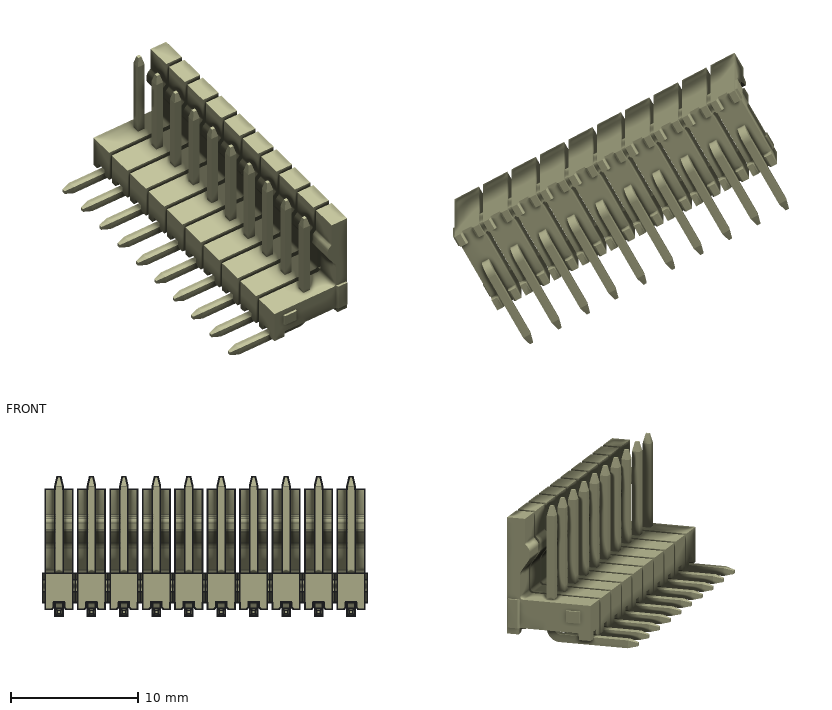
import cadquery as cq
import math


PIN_COUNT = 10
PITCH = 2.55
BODY_WIDTH = 2.15

BASE_FRONT = -6.9
BASE_BOTTOM = 1.07
BASE_TOP = 3.38
FOOT_BOTTOM = 0.53

FOOT_TOP_DEPTH = 1.02
FOOT_BOTTOM_DEPTH = 0.95

SLOT_WIDTH = 0.85
SLOT_TOP = 1.15
SLOT_FLARE = 0.15

WALL_TOP = 9.95
WALL_HEAD_DEPTH = 1.47
WALL_STEM_DEPTH = 1.07
BULGE_DEPTH = 1.85
BULGE_TOP = 7.52
BULGE_BOTTOM = 6.7
STEM_TOP = 5.55
UPPER_RAMP_ANGLE = 45.0
HEAD_CORNER_RADIUS = 0.2
BULGE_TOP_RADIUS = 0.53
BULGE_BOTTOM_RADIUS = 0.35
STEM_TOP_RADIUS = 0.69
STEM_FOOT_RADIUS = 0.25

REAR_LINK_BACK = -0.1
REAR_LINK_NOTCH = 0.14
FRONT_LINK_BACK = -4.88
FRONT_LINK_FRONT = -6.07
FRONT_LINK_BOTTOM = 1.9
FRONT_LINK_TOP = 2.85
FRONT_LINK_NOTCH = 0.048

PIN_SIZE = 0.64
PIN_TOP = 10.92
PIN_FRONT = -10.5
PIN_Y = -3.33
TIP_LENGTH = 0.75
TIP_SIZE = 0.28
BEND_OUTER_RADIUS = 1.07

PIN_CENTRE_Z = PIN_SIZE / 2
BEND_RADIUS = BEND_OUTER_RADIUS - PIN_SIZE / 2


def make_housing():
    """L-shaped housing of one module, with a rear foot and a front foot."""
    ramp_height = (BULGE_DEPTH - WALL_HEAD_DEPTH) / math.tan(math.radians(UPPER_RAMP_ANGLE))
    head_bottom = BULGE_TOP + ramp_height
    outline = [
        (0, FOOT_BOTTOM),
        (0, WALL_TOP),
        (-WALL_HEAD_DEPTH, WALL_TOP),
        (-WALL_HEAD_DEPTH, head_bottom),
        (-BULGE_DEPTH, BULGE_TOP),
        (-BULGE_DEPTH, BULGE_BOTTOM),
        (-WALL_STEM_DEPTH, STEM_TOP),
        (-WALL_STEM_DEPTH, BASE_TOP),
        (BASE_FRONT, BASE_TOP),
        (BASE_FRONT, FOOT_BOTTOM),
        (BASE_FRONT + FOOT_BOTTOM_DEPTH, FOOT_BOTTOM),
        (BASE_FRONT + FOOT_TOP_DEPTH, BASE_BOTTOM),
        (-FOOT_TOP_DEPTH, BASE_BOTTOM),
        (-FOOT_BOTTOM_DEPTH, FOOT_BOTTOM),
    ]
    housing = cq.Workplane("YZ").polyline(outline).close().extrude(BODY_WIDTH / 2, both=True)
    rounded_corners = [
        (-WALL_HEAD_DEPTH, head_bottom, HEAD_CORNER_RADIUS),
        (-BULGE_DEPTH, BULGE_TOP, BULGE_TOP_RADIUS),
        (-BULGE_DEPTH, BULGE_BOTTOM, BULGE_BOTTOM_RADIUS),
        (-WALL_STEM_DEPTH, STEM_TOP, STEM_TOP_RADIUS),
        (-WALL_STEM_DEPTH, BASE_TOP, STEM_FOOT_RADIUS),
    ]
    for y, z, radius in rounded_corners:
        corner_edge = cq.selectors.NearestToPointSelector((0, y, z))
        housing = housing.edges("|X").edges(corner_edge).fillet(radius)
    return housing


def make_slot(y_back, y_front, z_top):
    """Cutter for a slot through a foot, flared at the bottom."""
    half_slot = SLOT_WIDTH / 2
    half_mouth = half_slot + SLOT_FLARE
    outline = [
        (-half_mouth, FOOT_BOTTOM),
        (-half_slot, FOOT_BOTTOM + SLOT_FLARE),
        (-half_slot, z_top),
        (half_slot, z_top),
        (half_slot, FOOT_BOTTOM + SLOT_FLARE),
        (half_mouth, FOOT_BOTTOM),
    ]
    slot_plane = cq.Workplane("XZ", origin=(0, y_back, 0))
    return slot_plane.polyline(outline).close().extrude(y_back - y_front)


def make_link(y_back, y_front, back_notch, front_notch, z_bottom, z_top):
    """Bar across one module that narrows along Y by the notches where it meets its neighbours."""
    half_pitch = PITCH / 2
    half_body = BODY_WIDTH / 2
    outline = [
        (-half_pitch, y_back - back_notch),
        (-half_body, y_back),
        (half_body, y_back),
        (half_pitch, y_back - back_notch),
        (half_pitch, y_front + front_notch),
        (half_body, y_front),
        (-half_body, y_front),
        (-half_pitch, y_front + front_notch),
    ]
    link_plane = cq.Workplane("XY", origin=(0, 0, z_bottom))
    return link_plane.polyline(outline).close().extrude(z_top - z_bottom)


def make_links():
    """Rear and front links of one module, reaching half way to its neighbours."""
    rear_link = make_link(
        REAR_LINK_BACK, -WALL_STEM_DEPTH, 0, REAR_LINK_NOTCH, BASE_BOTTOM, BASE_TOP
    )
    front_link = make_link(
        FRONT_LINK_BACK,
        FRONT_LINK_FRONT,
        FRONT_LINK_NOTCH,
        FRONT_LINK_NOTCH,
        FRONT_LINK_BOTTOM,
        FRONT_LINK_TOP,
    )
    return rear_link.union(front_link)


def make_tip(plane):
    """Blunt pyramid rising from the origin of the given plane."""
    tip = cq.Workplane(plane).rect(PIN_SIZE, PIN_SIZE)
    return tip.workplane(offset=TIP_LENGTH).rect(TIP_SIZE, TIP_SIZE).loft(ruled=True)


def make_pin():
    """Square pin: upright leg, quarter bend and horizontal leg, with both tips."""
    upright_end = PIN_TOP - TIP_LENGTH
    level_end = PIN_FRONT + TIP_LENGTH
    bend_y = PIN_Y - BEND_RADIUS
    bend_z = PIN_CENTRE_Z + BEND_RADIUS
    diagonal = BEND_RADIUS * math.sqrt(0.5)
    path = (
        cq.Workplane("YZ")
        .moveTo(PIN_Y, upright_end)
        .lineTo(PIN_Y, bend_z)
        .threePointArc((bend_y + diagonal, bend_z - diagonal), (bend_y, PIN_CENTRE_Z))
        .lineTo(level_end, PIN_CENTRE_Z)
    )
    upright_plane = cq.Plane(origin=(0, PIN_Y, upright_end), xDir=(1, 0, 0), normal=(0, 0, 1))
    level_plane = cq.Plane(origin=(0, level_end, PIN_CENTRE_Z), xDir=(1, 0, 0), normal=(0, -1, 0))
    shank = cq.Workplane(upright_plane).rect(PIN_SIZE, PIN_SIZE).sweep(path)
    return shank.union(make_tip(upright_plane)).union(make_tip(level_plane))


def make_module():
    """One complete module centred on X = 0."""
    rear_slot = make_slot(0, -FOOT_TOP_DEPTH, BASE_BOTTOM)
    front_slot = make_slot(BASE_FRONT + FOOT_TOP_DEPTH, BASE_FRONT, SLOT_TOP)
    housing = make_housing().cut(rear_slot).cut(front_slot)
    return housing.union(make_links()).union(make_pin())


module = make_module()
first_x = -PITCH * (PIN_COUNT - 1) / 2
result = module.translate((first_x, 0, 0))
for index in range(1, PIN_COUNT):
    result = result.union(module.translate((first_x + index * PITCH, 0, 0)))
result = result.clean()